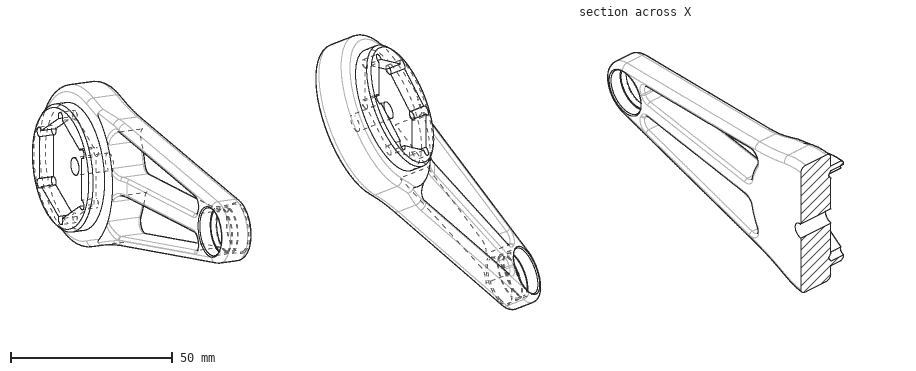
import cadquery as cq
import math

disc_radius = 25.35
disc_thickness = 12.0
arm_thickness = 10.0
boss_radius = 20.0
boss_height = 5.0
boss_chamfer = 1.0
end_distance = 87.0
end_radius = 10.0
arm_root_radius = 23.5
waist_radius = 77.0
rim_fillet = 2.0
ramp_radius = 10.0

side_wall = 3.15
rib_half_width = 3.0
root_corner_radius = 3.0
eye_corner_radius = 2.5
window_fillet = 1.0

hex_across_flats = 28.5
hex_depth = 5.0
relief_diameter = 3.0
drill_point_angle = 118.0
shaft_hole_diameter = 5.5

seat_radius = 7.5
lip_radius = 7.0
lip_width = 2.0
seat_chamfer = 0.4

arm_angle = math.asin((arm_root_radius - end_radius) / end_distance)
front_face = -(disc_thickness + boss_height)
ramp_drop = disc_thickness - arm_thickness
ramp_inner_radius = disc_radius - rim_fillet
ramp_length = math.sqrt(2 * ramp_radius * ramp_drop - ramp_drop**2)
ramp_end_radius = disc_radius + ramp_length
tall = disc_thickness + rim_fillet
arm_start_x = 14.0


def arm_point(along, outward):
    """Point (x, z) given along the upper arm edge direction and normal to it, from the disc axis."""
    c = math.cos(arm_angle)
    s = math.sin(arm_angle)
    return (along * c + outward * s, -along * s + outward * c)


def on_circle(radius, angle):
    return (radius * math.cos(angle), radius * math.sin(angle))


def mirrored(point):
    return (point[0], -point[1])


def cylinder(radius, y_from, y_to, x=0.0):
    return cq.Workplane("XZ", origin=(x, y_from, 0)).circle(radius).extrude(y_from - y_to)


def plate(thickness):
    """Disc, waist, arm and eye as one solid outline, extruded from the back face."""
    centre_along = math.sqrt((disc_radius + waist_radius)**2 - (arm_root_radius + waist_radius)**2)
    waist_centre = arm_point(centre_along, arm_root_radius + waist_radius)
    waist_angle = math.atan2(waist_centre[1], waist_centre[0])
    disc_end = on_circle(disc_radius, waist_angle)
    waist_end = arm_point(centre_along, arm_root_radius)
    middle_angle = (waist_angle + math.pi / 2 - arm_angle) / 2 + math.pi
    waist_offset = on_circle(waist_radius, middle_angle)
    waist_middle = (waist_centre[0] + waist_offset[0], waist_centre[1] + waist_offset[1])
    eye_start = arm_point(end_distance * math.cos(arm_angle), arm_root_radius)
    return (
        cq.Workplane("XZ")
        .moveTo(*mirrored(disc_end))
        .threePointArc((-disc_radius, 0), disc_end)
        .threePointArc(waist_middle, waist_end)
        .lineTo(*eye_start)
        .threePointArc((end_distance + end_radius, 0), mirrored(eye_start))
        .lineTo(*mirrored(waist_end))
        .threePointArc(mirrored(waist_middle), mirrored(disc_end))
        .close()
        .extrude(thickness)
    )


def windows():
    """Two openings between rib and side struts, rounded in plan, through the tall blank."""
    inner_offset = arm_root_radius - side_wall
    middle_x = (disc_radius + end_distance - end_radius) / 2
    root_corners = cq.selectors.BoxSelector((0, -tall, 0), (middle_x, 0, disc_radius))
    eye_corners = cq.selectors.BoxSelector((middle_x, -tall, 0), (end_distance, 0, disc_radius))
    upper = (
        cq.Workplane("XZ")
        .moveTo(0, rib_half_width)
        .lineTo(end_distance, rib_half_width)
        .lineTo(*arm_point(end_distance, inner_offset))
        .lineTo(*arm_point(0, inner_offset))
        .close()
        .extrude(tall)
        .cut(cylinder(disc_radius, 0, -tall))
        .cut(cylinder(end_radius, 0, -tall, end_distance))
    )
    upper = upper.edges("|Y").edges(root_corners).fillet(root_corner_radius)
    upper = upper.edges("|Y").edges(eye_corners).fillet(eye_corner_radius)
    return upper.union(upper.mirror("XY"))


def ramp_cutter():
    """Everything in front of the arm face and of the ramp, revolved about the disc axis."""
    centre_y = -arm_thickness - ramp_radius
    steepest = math.asin((ramp_end_radius - ramp_inner_radius) / ramp_radius)

    def ramp_point(angle):
        return (ramp_end_radius - ramp_radius * math.sin(angle), centre_y + ramp_radius * math.cos(angle))

    outer = end_distance + 2 * end_radius
    return (
        cq.Workplane("XY")
        .moveTo(ramp_inner_radius, front_face)
        .lineTo(*ramp_point(steepest))
        .threePointArc(ramp_point(steepest / 2), ramp_point(0))
        .lineTo(outer, -arm_thickness)
        .lineTo(outer, front_face)
        .close()
        .revolve(360, (0, 0, 0), (0, 1, 0))
    )


def disc_side_block():
    """Block that covers the part up to arm_start_x."""
    size = 3 * disc_radius
    return (
        cq.Workplane("XY")
        .box(size, tall, size)
        .translate((arm_start_x - size / 2, -tall / 2, 0))
    )


def round_windows(body, face_y):
    """Fillet both window rims at face_y; from the rib edge it runs on along the tangent edges."""
    for side in (1, -1):
        rib_edge = (end_distance / 2, face_y, side * rib_half_width)
        body = body.edges(cq.NearestToPointSelector(rib_edge)).fillet(window_fillet)
    return body


def ramped_arm(openings):
    """Arm with its ramp; the front edges of the rim and the windows follow the ramp."""
    arm = (
        plate(tall)
        .cut(ramp_cutter())
        .cut(disc_side_block())
        .cut(cylinder(ramp_inner_radius, 0, -tall))
    )
    eye_rim = (end_distance + end_radius, -arm_thickness, 0)
    arm = arm.edges(cq.NearestToPointSelector(eye_rim)).fillet(rim_fillet)
    return round_windows(arm.cut(openings), -arm_thickness)


def lever_body():
    """Full-height rounded plate, trimmed to the disc and the ramped arm."""
    openings = windows()
    kept = disc_side_block().union(cylinder(disc_radius, 0, -tall)).union(ramped_arm(openings))
    rounded = plate(disc_thickness).faces("<Y or >Y").edges().fillet(rim_fillet)
    return round_windows(rounded.cut(openings), 0).intersect(kept)


def boss():
    return cylinder(boss_radius, -disc_thickness, front_face).faces("<Y").chamfer(boss_chamfer)


def hex_pocket():
    """Hexagonal pocket with a drilled corner relief at every vertex."""
    corner_radius = hex_across_flats / math.sqrt(3)
    floor = front_face + hex_depth
    relief_radius = relief_diameter / 2
    tip = floor + relief_radius / math.tan(math.radians(drill_point_angle / 2))
    corners = [on_circle(corner_radius, math.radians(30 + 60 * i)) for i in range(6)]
    pocket = cq.Workplane("XZ", origin=(0, floor, 0)).polyline(corners).close().extrude(hex_depth)
    relief = (
        cq.Workplane("XY")
        .moveTo(0, front_face)
        .lineTo(relief_radius, front_face)
        .lineTo(relief_radius, floor)
        .lineTo(0, tip)
        .close()
        .revolve(360, (0, 0, 0), (0, 1, 0))
    )
    for x, z in corners:
        pocket = pocket.union(relief.translate((x, 0, z)))
    return pocket


def eye_bore():
    """Ring seat on each side of a central lip, with chamfered mouths."""
    mid_y = -arm_thickness / 2
    front_seat_y = mid_y - lip_width / 2
    back_seat_y = mid_y + lip_width / 2
    mouth_radius = seat_radius + seat_chamfer
    return (
        cq.Workplane("XY")
        .moveTo(0, 0)
        .lineTo(mouth_radius, 0)
        .lineTo(seat_radius, -seat_chamfer)
        .lineTo(seat_radius, back_seat_y)
        .lineTo(lip_radius, back_seat_y)
        .lineTo(lip_radius, front_seat_y)
        .lineTo(seat_radius, front_seat_y)
        .lineTo(seat_radius, -arm_thickness + seat_chamfer)
        .lineTo(mouth_radius, -arm_thickness)
        .lineTo(0, -arm_thickness)
        .close()
        .revolve(360, (0, 0, 0), (0, 1, 0))
        .translate((end_distance, 0, 0))
    )


result = (
    lever_body()
    .union(boss())
    .cut(hex_pocket())
    .cut(cylinder(shaft_hole_diameter / 2, 0, front_face))
    .cut(eye_bore())
)